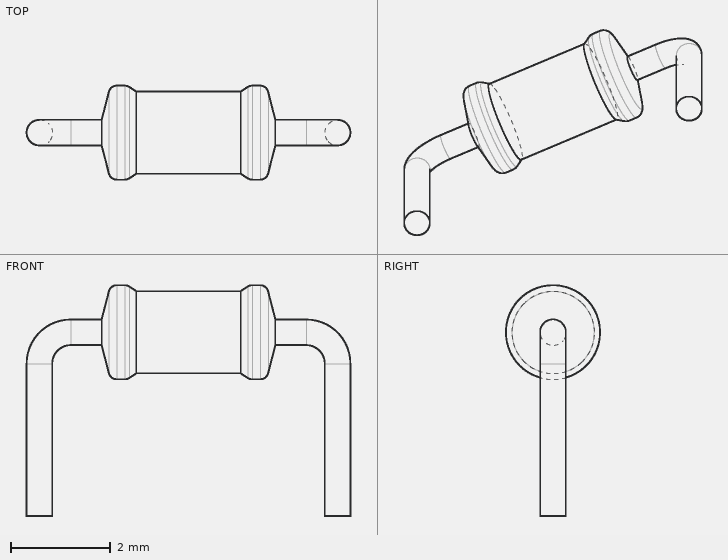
import cadquery as cq
import math


lead_diameter = 0.52
lead_pitch = 6.0
bend_radius = 0.63
axis_height = 3.7

body_length = 3.5
neck_diameter = 1.66
neck_length = 2.104
collar_diameter = 1.9
end_cone_angle = 14.5
shoulder_angle = 33.7
collar_round = 0.165
shoulder_round = 0.175

lead_radius = lead_diameter / 2
neck_radius = neck_diameter / 2
collar_radius = collar_diameter / 2
half_length = body_length / 2
half_neck = neck_length / 2

cone_run = (collar_radius - lead_radius) * math.tan(math.radians(end_cone_angle))
shoulder_run = (collar_radius - neck_radius) / math.tan(math.radians(shoulder_angle))
collar_outer_x = half_length - cone_run
collar_inner_x = half_neck + shoulder_run


def collar_edges(body, distance_from_middle):
    """Circular edges of both collars at the given distance from the middle of the body."""
    tolerance = 0.01
    near = distance_from_middle - tolerance
    far = distance_from_middle + tolerance
    reach = 2 * collar_radius
    boxes = [
        cq.selectors.BoxSelector((side * near, -reach, -reach), (side * far, reach, reach))
        for side in (-1, 1)
    ]
    return body.edges("%CIRCLE").edges(boxes[0] + boxes[1])


def make_body():
    """Revolved body about the X axis, centred on the origin."""
    right_half = [
        (half_neck, neck_radius),
        (collar_inner_x, collar_radius),
        (collar_outer_x, collar_radius),
        (half_length, lead_radius),
        (half_length, 0),
    ]
    left_half = [(-x, radius) for x, radius in reversed(right_half)]
    body = (
        cq.Workplane("XZ")
        .polyline(left_half + right_half)
        .close()
        .revolve(360, (0, 0, 0), (1, 0, 0))
    )
    body = collar_edges(body, collar_outer_x).fillet(collar_round)
    return collar_edges(body, collar_inner_x).fillet(shoulder_round)


def make_lead():
    """Lead on the -X side: up from the tip, round the bend and into the body end."""
    lead_x = -lead_pitch / 2
    bend_offset = bend_radius * math.sin(math.radians(45))
    bend_center_x = lead_x + bend_radius
    path = (
        cq.Workplane("XZ")
        .moveTo(lead_x, -axis_height)
        .lineTo(lead_x, -bend_radius)
        .threePointArc((bend_center_x - bend_offset, bend_offset - bend_radius), (bend_center_x, 0))
        .lineTo(-half_length, 0)
    )
    return (
        cq.Workplane("XY", origin=(lead_x, 0, -axis_height))
        .circle(lead_radius)
        .sweep(path)
    )


lead = make_lead()
resistor = make_body().union(lead).union(lead.mirror("YZ"))

result = resistor.translate((0, 0, axis_height))